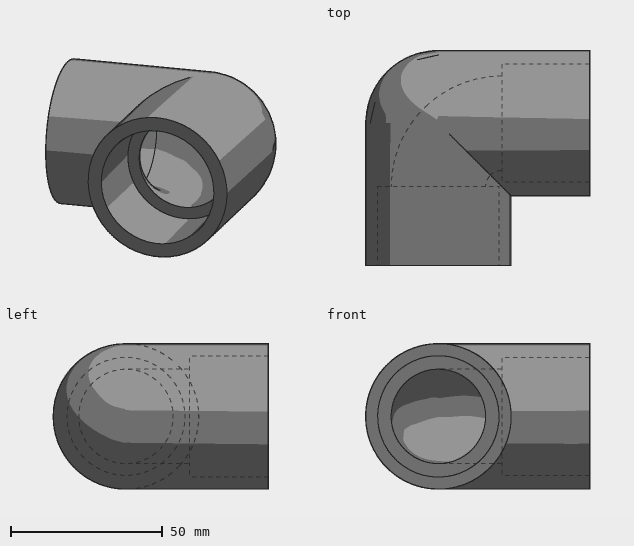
import cadquery as cq

outer_diameter = 48.0
bore_diameter = 31.15
plain_socket_diameter = 40.0
threaded_socket_diameter = 38.9
overall_x = 74.0
overall_y = 71.0
plain_socket_depth = 26.0

outer_radius = outer_diameter / 2
leg_x_length = overall_x - outer_radius
leg_y_length = overall_y - outer_radius

bend_radius = leg_y_length - plain_socket_depth

X_DIRECTION = cq.Vector(1, 0, 0)
Y_DIRECTION = cq.Vector(0, -1, 0)


def cylinder(direction, start, end, diameter):
    """Solid round bar along a leg axis, between two distances from the corner."""
    bar = cq.Solid.makeCylinder(diameter / 2, end - start, direction * start, direction)
    return cq.Workplane(obj=bar)


def rounded_elbow(diameter):
    """Two perpendicular bars joined by a ball at the corner."""
    ball = cq.Workplane("XY").sphere(diameter / 2)
    leg_x = cylinder(X_DIRECTION, 0, leg_x_length, diameter)
    leg_y = cylinder(Y_DIRECTION, 0, leg_y_length, diameter)
    return leg_x.union(leg_y).union(ball)


def curved_passage(diameter):
    """Quarter bend from the floor of one socket to the floor of the other."""
    path = (
        cq.Workplane("XY")
        .moveTo(0, -bend_radius)
        .radiusArc((bend_radius, 0), bend_radius)
    )
    return cq.Workplane("XZ", origin=(0, -bend_radius, 0)).circle(diameter / 2).sweep(path)


body = rounded_elbow(outer_diameter)
passage = curved_passage(bore_diameter)
socket_x = cylinder(X_DIRECTION, bend_radius, leg_x_length, threaded_socket_diameter)
socket_y = cylinder(Y_DIRECTION, bend_radius, leg_y_length, plain_socket_diameter)

result = body.cut(passage).cut(socket_x).cut(socket_y)